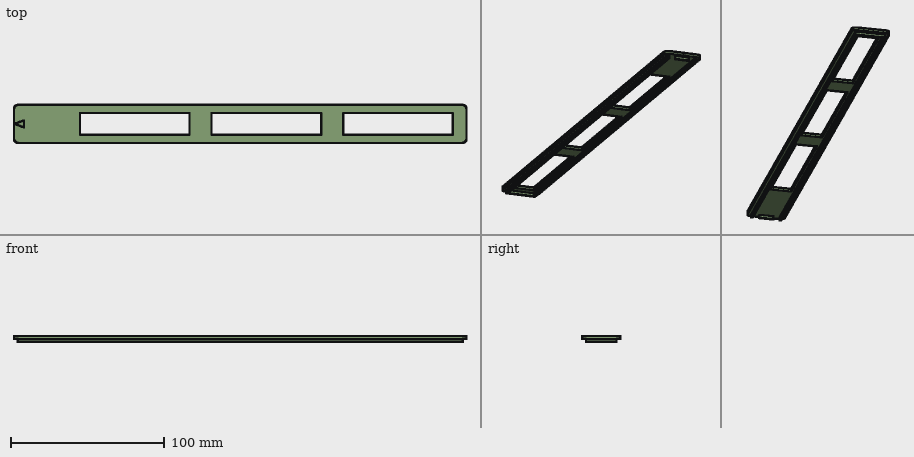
import cadquery as cq

length = 295.75
width = 25.05
total_height = 4.0
cover_thickness = 2.0
cover_corner_radius = 3.0

lip_inset = 2.5
lip_height = total_height - cover_thickness
lip_length = length - 2 * lip_inset
lip_width = width - 2 * lip_inset
lip_wall = 1.0

tab_width = 9.4
corner_gap_width = (lip_width - 2 * lip_wall - tab_width) / 2

window_count = 3
window_length = 71.4
window_width = 14.0
window_pitch = 86.0
first_window_margin = 43.25

arrow_tip_margin = 0.5
arrow_length = 6.0
arrow_width = 4.6
arrow_depth = 0.5

left_end = -length / 2


def make_cover():
    """Flat plate with rounded corners, sitting on top of the lip."""
    base = cq.Workplane("XY").workplane(offset=lip_height)
    plate = base.rect(length, width).extrude(cover_thickness)
    return plate.edges("|Z").fillet(cover_corner_radius)


def make_lip():
    """Rectangular wall under the cover, split beside the tab at its -X end."""
    inner_length = lip_length - 2 * lip_wall
    inner_width = lip_width - 2 * lip_wall
    wall = cq.Workplane("XY").rect(lip_length, lip_width).rect(inner_length, inner_width).extrude(lip_height)
    gap_x = left_end + lip_inset + lip_wall / 2
    gap_y = (tab_width + corner_gap_width) / 2
    gap_centers = [(gap_x, -gap_y), (gap_x, gap_y)]
    gaps = cq.Workplane("XY").pushPoints(gap_centers).rect(lip_wall, corner_gap_width).extrude(lip_height)
    return wall.cut(gaps)


def make_windows():
    """Equally spaced window cutters, full height of the part."""
    first_center = left_end + first_window_margin + window_length / 2
    centers = [(first_center + i * window_pitch, 0) for i in range(window_count)]
    return cq.Workplane("XY").pushPoints(centers).rect(window_length, window_width).extrude(total_height)


def make_arrow():
    """Triangular cutter sunk into the top face."""
    tip = left_end + arrow_tip_margin
    base = tip + arrow_length
    outline = [(tip, 0), (base, -arrow_width / 2), (base, arrow_width / 2)]
    floor = cq.Workplane("XY").workplane(offset=total_height - arrow_depth)
    return floor.polyline(outline).close().extrude(arrow_depth)


result = make_cover().union(make_lip()).cut(make_windows()).cut(make_arrow())